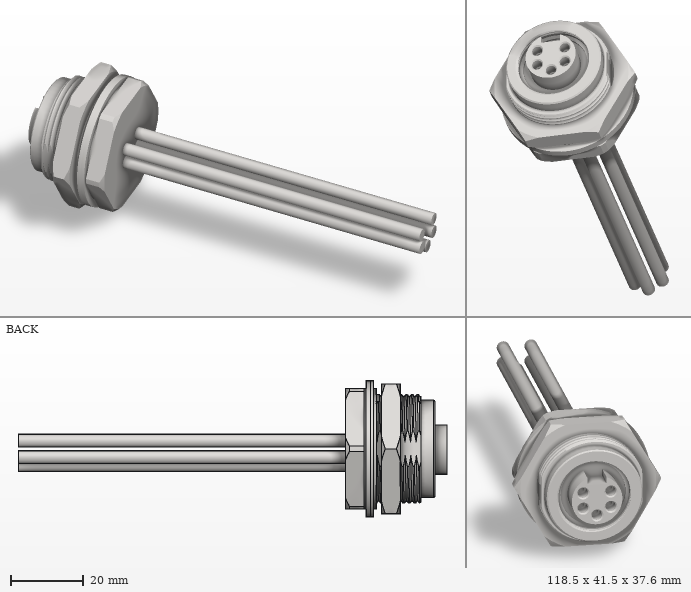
import cadquery as cq
import math


shell_front = 3.3
thread_start = 7.2
nut_front = 12.9
nut_back = 18.1
seal_front = 19.5
seal_step = 20.3
flange_front = 21.2
flange_back = 22.4
head_front = 23.0
head_back = 28.1
wire_end = 118.5

shell_radius = 13.5
shell_chamfer = 0.4
flange_radius = 18.8
relief_radius = 16.7

thread_crest_radius = 15.0
thread_root_radius = 14.3
thread_lead_in = 0.4
thread_turns = 8
thread_pitch = (seal_front - thread_start) / thread_turns
thread_groove_width = 1.2
thread_start_angle = 150
thread_flat_distance = 14.2

socket_radius = 10.2
socket_depth = 2.6
socket_groove_radius = 10.9
socket_turns = 3
socket_pitch = 1.0
socket_groove_width = 0.7
socket_start_angle = 60
socket_floor_radius = 9.1
socket_floor_depth = 0.6

head_across_flats = 2 * relief_radius
head_chamfer = 1.1

insert_radius = 7.1
key_width = 5.3
key_floor = 4.6

contact_circle_radius = 4.5
contact_angles = [30, 150, 210, 270, 330]
contact_mouth_radius = 1.8
contact_bore_radius = 1.4
contact_mouth_depth = 0.4
contact_bore_depth = 3.5
contact_socket_radius = 1.0
contact_socket_depth = 5.9
contact_tip_depth = 0.6
wire_radius = 1.8

nut_across_corners = 41.5
nut_face_radius = 19.1
nut_chamfer_length = 1.1

thread_overcut = 0.1


def cylinder(radius, start, end):
    """A round bar on the X axis between two stations."""
    return cq.Workplane("YZ").workplane(offset=start).circle(radius).extrude(end - start)


def hexagon(across_corners, start, end):
    """A hexagonal bar on the X axis with corners at +Y and -Y."""
    return cq.Workplane("YZ").workplane(offset=start).polygon(6, across_corners).extrude(end - start)


def turned(points):
    """A solid turned about the X axis from an outline of (x, radius) points."""
    return cq.Workplane("XY").polyline(points).close().revolve(360, (0, 0, 0), (1, 0, 0))


def helical_groove(surface_radius, tip_radius, width, pitch, turns, start, start_angle):
    """A V-shaped cutter that winds along the X axis, its tip at tip_radius."""
    outward = math.copysign(1, surface_radius - tip_radius)
    depth = abs(surface_radius - tip_radius)
    wide_radius = surface_radius + outward * thread_overcut
    half_width = width / 2 * (depth + thread_overcut) / depth
    path = cq.Wire.makeHelix(pitch, pitch * turns, surface_radius)
    groove = (
        cq.Workplane("XZ")
        .polyline([(tip_radius, 0), (wide_radius, half_width), (wide_radius, -half_width)])
        .close()
        .sweep(cq.Workplane(obj=path), isFrenet=True)
    )
    groove = groove.rotate((0, 0, 0), (0, 1, 0), 90).rotate((0, 0, 0), (1, 0, 0), start_angle)
    return groove.translate((start, 0, 0))


def contact_places():
    """The (Y, Z) centre of each contact and its wire."""
    angles = [math.radians(angle) for angle in contact_angles]
    return [
        (contact_circle_radius * math.cos(angle), contact_circle_radius * math.sin(angle))
        for angle in angles
    ]


def make_threaded_bar():
    """The full outside thread, from its lead-in to the front of the flange."""
    bar = turned([
        (thread_start, 0),
        (thread_start, thread_crest_radius - thread_lead_in),
        (thread_start + thread_lead_in, thread_crest_radius),
        (flange_front, thread_crest_radius),
        (flange_front, 0),
    ])
    groove = helical_groove(
        thread_crest_radius, thread_root_radius, thread_groove_width,
        thread_pitch, thread_turns, thread_start, thread_start_angle,
    )
    return bar.cut(groove)


def cut_thread_flats(bar):
    """Flatten both sides of the thread, up to the seal."""
    for side in (1, -1):
        flat_middle = side * (thread_flat_distance + thread_crest_radius) / 2
        flat = cq.Workplane("XY").box(
            seal_front - thread_start,
            thread_crest_radius - thread_flat_distance,
            2 * thread_crest_radius,
        )
        bar = bar.cut(flat.translate(((thread_start + seal_front) / 2, flat_middle, 0)))
    return bar


def make_head():
    """Hexagonal head with rounded corners and a chamfered back edge."""
    across_corners = head_across_flats / math.cos(math.pi / 6)
    head = hexagon(across_corners, head_front, head_back)
    envelope = cylinder(flange_radius, head_front, head_back).faces(">X").chamfer(head_chamfer)
    return head.intersect(envelope)


def cut_socket(shell):
    """Bore the stepped socket and cut the thread in its wall."""
    floor = shell_front + socket_depth
    shell = shell.cut(cylinder(socket_radius, shell_front, floor))
    shell = shell.cut(cylinder(socket_floor_radius, floor, floor + socket_floor_depth))
    groove = helical_groove(
        socket_radius, socket_groove_radius, socket_groove_width,
        socket_pitch, socket_turns, shell_front - socket_pitch, socket_start_angle,
    )
    return shell.cut(groove)


def contact_bore():
    """Stepped bore with a chamfered mouth and a conical bottom."""
    return turned([
        (0, 0),
        (0, contact_mouth_radius),
        (contact_mouth_depth, contact_bore_radius),
        (contact_bore_depth, contact_bore_radius),
        (contact_bore_depth, contact_socket_radius),
        (contact_socket_depth, contact_socket_radius),
        (contact_socket_depth + contact_tip_depth, 0),
    ])


def make_insert():
    """Contact insert with a keyway on top and five contact bores."""
    floor = shell_front + socket_depth + socket_floor_depth
    insert = cylinder(insert_radius, 0, floor)
    keyway = cq.Workplane("XY").box(floor, key_width, insert_radius, centered=(False, True, False))
    insert = insert.cut(keyway.translate((0, 0, key_floor)))
    for y, z in contact_places():
        insert = insert.cut(contact_bore().translate((0, y, z)))
    return insert


def make_housing(threaded_bar):
    shell = cylinder(shell_radius, shell_front, flange_front).faces("<X").chamfer(shell_chamfer)
    shell = shell.union(cut_thread_flats(threaded_bar))
    shell = cut_socket(shell)
    shell = shell.union(cylinder(flange_radius, flange_front, flange_back))
    shell = shell.union(cylinder(relief_radius, flange_back, head_front))
    shell = shell.union(make_head())
    shell = shell.union(make_insert())
    for y, z in contact_places():
        shell = shell.union(cylinder(wire_radius, head_back, wire_end).translate((0, y, z)))
    return shell


def make_nut(threaded_bar):
    """Hexagonal nut, chamfered at both ends, threaded to match the housing."""
    nut = hexagon(nut_across_corners, nut_front, nut_back)
    corner_radius = nut_across_corners / 2
    envelope = turned([
        (nut_front, 0),
        (nut_front, nut_face_radius),
        (nut_front + nut_chamfer_length, corner_radius),
        (nut_back - nut_chamfer_length, corner_radius),
        (nut_back, nut_face_radius),
        (nut_back, 0),
    ])
    return nut.intersect(envelope).cut(threaded_bar)


def make_seal():
    """Stepped seal ring lying against the flange, around the end of the thread."""
    seal = cylinder(relief_radius, seal_front, seal_step)
    seal = seal.union(cylinder(flange_radius, seal_step, flange_front))
    return seal.cut(cylinder(thread_crest_radius, seal_front, flange_front))


threaded_bar = make_threaded_bar()
housing = make_housing(threaded_bar)
nut = make_nut(threaded_bar)
seal = make_seal()

result = cq.Compound.makeCompound([
    *housing.solids().vals(),
    *nut.solids().vals(),
    *seal.solids().vals(),
])